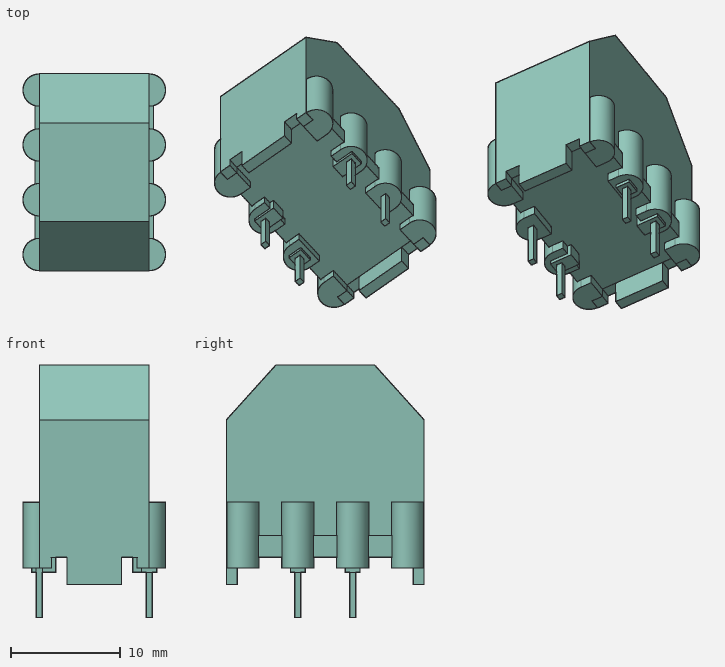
import cadquery as cq

FOOT_BOTTOM = 3.01
BOSS_BOTTOM = 4.12
COLUMN_BOTTOM = 4.5
PLATE_BOTTOM = 5.5
PLATE_TOP = 7.5
COLUMN_TOP = 10.5
SHOULDER = 18.0
OVERALL_HEIGHT = 23.0

HOUSING_WIDTH = 10.0
HOUSING_LENGTH = 18.0
SLOPE_RUN = 4.5
END_WALL = 1.01
FOOT_WIDTH = 5.0
STUB_WIDTH = 1.1

PLATE_WIDTH = 10.8
COLUMN_REACH = 1.5
COLUMN_WIDTH = 2.95
PITCH = 5.0
COLUMN_ROWS = [(row - 1.5) * PITCH for row in range(4)]

PIN_SIZE = 0.58
BOSS_SIZE = 1.38
LONG_BOSS_REACH = 1.52

SIDE_X = HOUSING_WIDTH / 2
PIN_Y = PITCH / 2


def block(x_range, y_range, z_range):
    """Axis-aligned box between the given limits."""
    (x0, x1), (y0, y1), (z0, z1) = x_range, y_range, z_range
    return cq.Workplane("XY").box(x1 - x0, y1 - y0, z1 - z0, centered=False).translate((x0, y0, z0))


def centred_block(x, y, size, z_range):
    """Square upright bar centred at (x, y)."""
    half = size / 2
    return block((x - half, x + half), (y - half, y + half), z_range)


def make_end_wall():
    """Wall at the -Y end with a wide centre foot and a stub at each corner, notched between them."""
    y_outer = -HOUSING_LENGTH / 2
    y_range = (y_outer, y_outer + END_WALL)
    wall = block((-SIDE_X, SIDE_X), y_range, (PLATE_BOTTOM, PLATE_TOP))
    foot = block((-FOOT_WIDTH / 2, FOOT_WIDTH / 2), y_range, (FOOT_BOTTOM, PLATE_BOTTOM))
    stub_z = (COLUMN_BOTTOM, PLATE_BOTTOM)
    left_stub = block((-SIDE_X, -SIDE_X + STUB_WIDTH), y_range, stub_z)
    return wall.union(foot).union(left_stub).union(left_stub.mirror("YZ"))


def make_housing():
    """Block with two sloped shoulders, carried on an end wall at each end."""
    half_length = HOUSING_LENGTH / 2
    ridge = half_length - SLOPE_RUN
    profile = [
        (-half_length, PLATE_TOP),
        (half_length, PLATE_TOP),
        (half_length, SHOULDER),
        (ridge, OVERALL_HEIGHT),
        (-ridge, OVERALL_HEIGHT),
        (-half_length, SHOULDER),
    ]
    body = cq.Workplane("YZ").polyline(profile).close().extrude(SIDE_X, both=True)
    end_wall = make_end_wall()
    return body.union(end_wall).union(end_wall.mirror("XZ"))


def make_column(side, y):
    """Round-fronted column on one side; its square root is trimmed later to the space below the housing."""
    half = COLUMN_WIDTH / 2
    root_x = side * (SIDE_X - STUB_WIDTH)
    side_x = side * SIDE_X
    nose_x = side * (SIDE_X + COLUMN_REACH)
    return (
        cq.Workplane("XY", origin=(0, 0, COLUMN_BOTTOM))
        .moveTo(root_x, y - half)
        .lineTo(side_x, y - half)
        .threePointArc((nose_x, y), (side_x, y + half))
        .lineTo(root_x, y + half)
        .close()
        .extrude(COLUMN_TOP - COLUMN_BOTTOM)
    )


def make_bosses():
    """Short boss at the front +X pin and long bosses at both rear pins; the front -X pin has none."""
    boss_z = (BOSS_BOTTOM, PLATE_BOTTOM)
    half = BOSS_SIZE / 2
    short_boss = centred_block(SIDE_X, -PIN_Y, BOSS_SIZE, boss_z)
    long_boss = block((SIDE_X - LONG_BOSS_REACH, SIDE_X + half), (PIN_Y - half, PIN_Y + half), boss_z)
    return short_boss.union(long_boss).union(long_boss.mirror("YZ"))


def make_pin(side_x, side_y):
    """Square pin that butts against the underside of its column."""
    return centred_block(side_x * SIDE_X, side_y * PIN_Y, PIN_SIZE, (0, COLUMN_BOTTOM))


def make_base(housing, pins):
    """Plate with side columns and pin bosses, cut to fit around the housing and the pins."""
    half_length = HOUSING_LENGTH / 2 - END_WALL
    base = block(
        (-PLATE_WIDTH / 2, PLATE_WIDTH / 2),
        (-half_length, half_length),
        (PLATE_BOTTOM, PLATE_TOP),
    )
    for side in (-1, 1):
        for y in COLUMN_ROWS:
            base = base.union(make_column(side, y))
    base = base.union(make_bosses()).cut(housing)
    for pin in pins:
        base = base.cut(pin)
    return base


housing = make_housing()
pins = [make_pin(side_x, side_y) for side_x in (-1, 1) for side_y in (-1, 1)]
base = make_base(housing, pins)

result = cq.Compound.makeCompound([housing.val(), *base.vals(), *[pin.val() for pin in pins]])